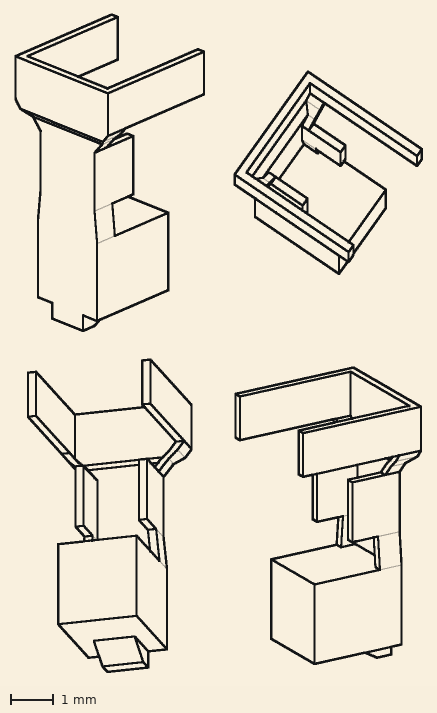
import cadquery as cq


sheet = 0.2
cradle_width = 3.0
total_depth = 3.25
total_height = 6.5

stem_width = 1.755
block_width = 1.925
tab_width = 1.0
neck_upper_width = 2.685
neck_lower_width = 2.25

block_bottom = 0.4
block_top = 2.4
wing_bottom = 3.205
wing_top = 4.705
front_step_bottom = 5.0
front_step_top = front_step_bottom + sheet
cradle_bottom = 5.4

stem_front = sheet
tab_back = 0.6
tab_root_back = 1.275
block_back = 2.6
flare_back = 0.8
wing_back = 1.51
neck_back = 0.6


def symmetric_prism(right_edge):
    """Mirror a right-hand (x, z) edge about the Z axis and extend it through the full depth."""
    left_edge = [(-x, z) for x, z in reversed(right_edge)]
    return cq.Workplane("XZ").polyline(right_edge + left_edge).close().extrude(-total_depth)


def side_prism(outline):
    """Extend a (y, z) outline through the full width."""
    return cq.Workplane("YZ").polyline(outline).close().extrude(cradle_width / 2, both=True)


def upper_edge(wall):
    """Right edge from the block up to the cradle rim, set inward by the wall thickness."""
    return [
        (block_width / 2 - wall, block_top),
        (stem_width / 2 - wall, wing_bottom),
        (stem_width / 2 - wall, wing_top),
        (neck_lower_width / 2 - wall, front_step_bottom),
        (neck_upper_width / 2 - wall, front_step_top),
        (cradle_width / 2 - wall, cradle_bottom),
        (cradle_width / 2 - wall, total_height),
    ]


def front_edge(wall):
    """Front wall line from the cradle rim down to the stem, set back by the wall thickness."""
    return [
        (wall, total_height),
        (wall, front_step_top),
        (stem_front + wall, front_step_bottom),
    ]


lower_edge = [
    (tab_width / 2, 0),
    (tab_width / 2, block_bottom),
    (block_width / 2, block_bottom),
]
back_edge = [
    (stem_front, 0),
    (tab_back, 0),
    (tab_root_back, block_bottom),
    (block_back, block_bottom),
    (block_back, block_top),
    (flare_back, block_top),
    (flare_back, wing_bottom),
    (wing_back, wing_bottom),
    (wing_back, wing_top),
    (neck_back, wing_top),
    (neck_back, cradle_bottom),
    (total_depth, cradle_bottom),
    (total_depth, total_height),
]
envelope = symmetric_prism(lower_edge + upper_edge(0)).intersect(side_prism(back_edge + front_edge(0)))

channel_side = front_edge(sheet) + [
    (stem_front + sheet, block_top),
    (total_depth, block_top),
    (total_depth, total_height),
]
channel = symmetric_prism(upper_edge(sheet)).intersect(side_prism(channel_side))

result = envelope.cut(channel)